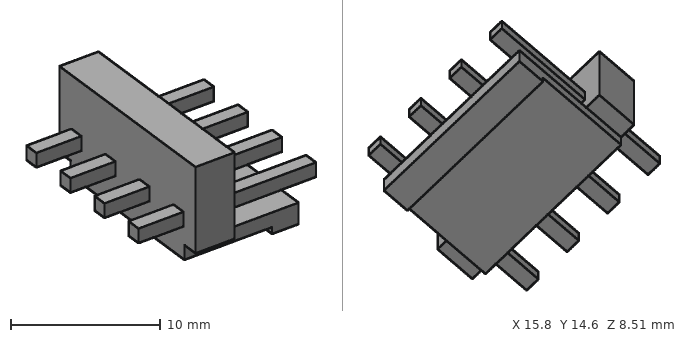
import cadquery as cq

wall_width = 15.78
wall_depth = 3.22
wall_height = 6.8

pin_count = 4
pin_pitch = 3.95
pin_side = 1.15
pin_front_length = 3.7
pin_rear_length = 7.68
pin_center_z = 1.99

tongue_width = 13.22
tongue_thickness = 1.17
tongue_overhang = 6.17
hook_length = 2.18
hook_drop = 0.54


def make_wall():
    return cq.Workplane("XY").box(
        wall_width, wall_depth, wall_height, centered=(True, False, False)
    )


def make_tongue():
    rear_y = wall_depth + tongue_overhang
    hook_start_y = rear_y - hook_length
    hook_bottom_z = -tongue_thickness - hook_drop
    profile = [
        (0, 0),
        (rear_y, 0),
        (rear_y, hook_bottom_z),
        (hook_start_y, hook_bottom_z),
        (hook_start_y, -tongue_thickness),
        (0, -tongue_thickness),
    ]
    return cq.Workplane("YZ").polyline(profile).close().extrude(tongue_width / 2, both=True)


def make_pins():
    length = pin_front_length + wall_depth + pin_rear_length
    pin_starts = [
        ((index - (pin_count - 1) / 2) * pin_pitch, -pin_front_length)
        for index in range(pin_count)
    ]
    return (
        cq.Workplane("XY")
        .pushPoints(pin_starts)
        .box(pin_side, length, pin_side, centered=(True, False, True))
        .translate((0, 0, pin_center_z))
    )


result = make_wall().union(make_tongue()).union(make_pins())